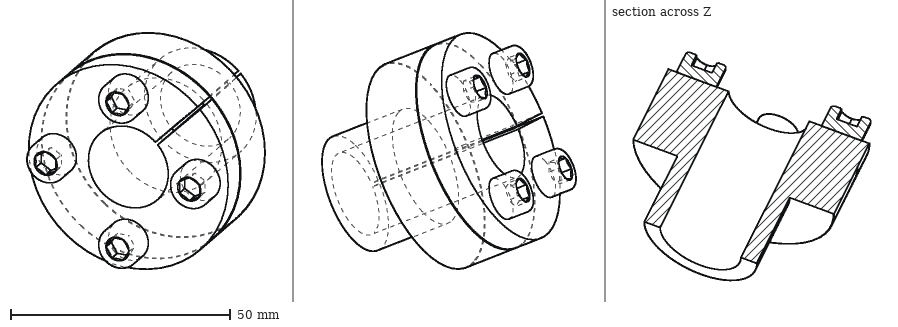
import cadquery as cq
import math

outer_diameter = 50.0
bore_diameter = 20.0
sleeve_diameter = 28.0
sleeve_length = 19.0
ring_length = 13.65
rim_chamfer = 0.15
flange_length = 6.85
slit_width = 0.8
slit_angle = 45.0
ring_slit_radius = 22.0
slit_end_chamfer = 0.25

screw_count = 4
screw_circle_radius = 18.0
head_diameter = 10.0
head_length = 6.0
head_fillet = 0.85
socket_flats = 5.0
socket_sides = 6
half_side_angle = 180 / socket_sides
socket_corners = socket_flats / math.cos(math.radians(half_side_angle))
socket_depth = 3.0
socket_cone_half_angle = 60.0

ring_front = flange_length
ring_back = ring_front + ring_length
sleeve_end = ring_back + sleeve_length


def cylinder(diameter, start, end):
    """Cylinder on the Y axis between two stations."""
    return cq.Workplane("XZ", origin=(0, start, 0)).circle(diameter / 2).extrude(start - end)


def cone(start_radius, end_radius, start, end):
    """Cone or truncated cone on the Y axis between two stations."""
    base = cq.Vector(0, start, 0)
    return cq.Workplane(cq.Solid.makeCone(start_radius, end_radius, end - start, base, cq.Vector(0, 1, 0)))


def cut_slit(body, envelope):
    """Cut the radial slit, from the axis outward, where it runs inside the envelope."""
    blade = (
        cq.Workplane("XY")
        .box(outer_diameter, sleeve_end, slit_width, centered=(False, False, True))
        .rotate((0, 0, 0), (0, 1, 0), -slit_angle)
    )
    return body.cut(blade.intersect(envelope))


def make_hub():
    """Flange, ring and sleeve around one bore, opened by a slit that the ring's rim bridges."""
    flange = cylinder(outer_diameter, 0, ring_front)
    ring = cylinder(outer_diameter, ring_front, ring_back).edges().chamfer(rim_chamfer)
    sleeve = cylinder(sleeve_diameter, ring_back, sleeve_end)
    hub = flange.union(ring).union(sleeve).cut(cylinder(bore_diameter, 0, sleeve_end))
    ring_slit_envelope = cylinder(2 * ring_slit_radius, ring_front, ring_back).union(
        cone(ring_slit_radius + slit_end_chamfer, ring_slit_radius, ring_front, ring_front + slit_end_chamfer)
    )
    for envelope in (flange, ring_slit_envelope, sleeve):
        hub = cut_slit(hub, envelope)
    return hub


def make_screw(angle):
    """Socket head screw turned about the Y axis, one flat of its hexagon facing the hub axis."""
    head = cylinder(head_diameter, -head_length, 0).faces("<Y").edges().fillet(head_fillet)
    socket = (
        cq.Workplane("XZ", origin=(0, -head_length, 0))
        .polygon(socket_sides, socket_corners)
        .extrude(-socket_depth)
        .rotate((0, 0, 0), (0, 1, 0), half_side_angle)
    )
    cone_radius = socket_corners / 2
    cone_depth = cone_radius / math.tan(math.radians(socket_cone_half_angle))
    lead_in = cone(cone_radius, 0, -head_length, cone_depth - head_length)
    screw = head.cut(socket).cut(lead_in).translate((screw_circle_radius, 0, 0))
    return screw.rotate((0, 0, 0), (0, 1, 0), -angle)


hub = make_hub()
screws = [make_screw(index * 360 / screw_count) for index in range(screw_count)]

result = cq.Compound.makeCompound([hub.val(), *[screw.val() for screw in screws]])